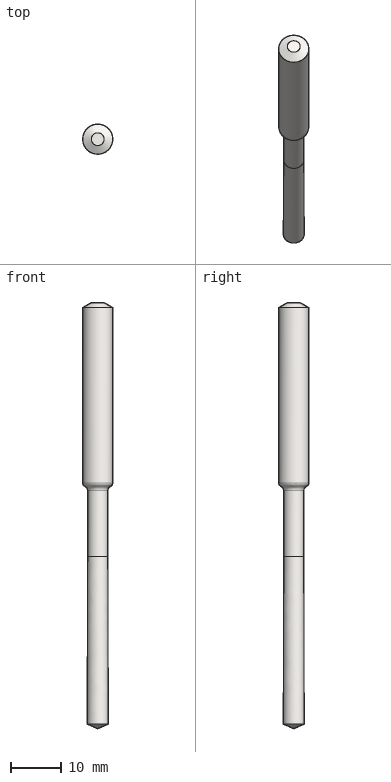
import cadquery as cq

total_length = 85.0

shank_radius = 6.0 / 2
shank_top_radius = 1.3
shank_top_chamfer_height = 1.0
shoulder_bottom_z = 47.5
shoulder_top_z = 49.05
neck_radius = 2.0

cutter_top_z = 34.3
cutter_end_radius = 2.1
tip_height = 0.9


def make_shank():
    """Shank with a conical top and a smooth S-curved shoulder down to the neck."""
    profile = (
        cq.Workplane("XZ")
        .moveTo(0, cutter_top_z)
        .lineTo(neck_radius, cutter_top_z)
        .lineTo(neck_radius, shoulder_bottom_z)
        .spline(
            [(shank_radius, shoulder_top_z)],
            tangents=[(0, 1), (0, 1)],
            includeCurrent=True,
        )
        .lineTo(shank_radius, total_length - shank_top_chamfer_height)
        .lineTo(shank_top_radius, total_length)
        .lineTo(0, total_length)
        .close()
    )
    return profile.revolve()


def make_cutter():
    """Slightly tapered rod with a conical drill point."""
    profile = (
        cq.Workplane("XZ")
        .lineTo(cutter_end_radius, tip_height)
        .lineTo(neck_radius, cutter_top_z)
        .lineTo(0, cutter_top_z)
        .close()
    )
    return profile.revolve()


shank = make_shank()
cutter = make_cutter()

result = cq.Compound.makeCompound([shank.val(), cutter.val()])